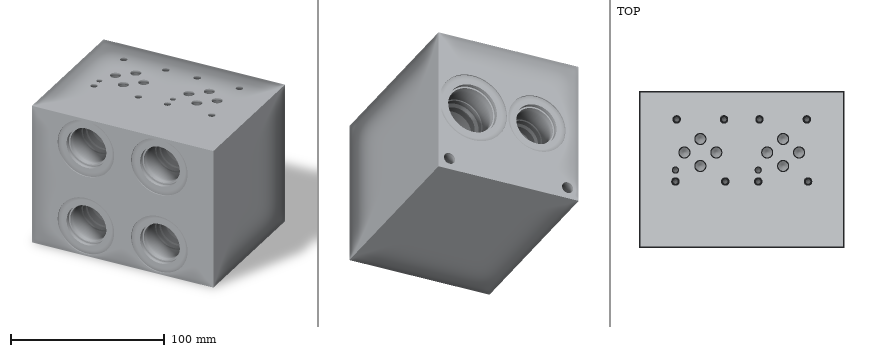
import cadquery as cq
import math

LENGTH = 133.4
WIDTH = 101.6
HEIGHT = 101.6

DRILL_POINT_ANGLE = 118.0
TAP_DRILL_EXTENSION = 2.7

SPOTFACE_DEPTH = 0.8
RECESS_DEPTH = 3.9
PORT_THREAD_DEPTH = 20.0
PORT_BORE_DEPTH = 24.0
SMALL_SPOTFACE_DIA = 41.5
SMALL_RECESS_DIA = 29.2
SMALL_THREAD_DIA = 27.0
SMALL_BORE_DIA = 25.0
LARGE_SPOTFACE_DIA = 49.0
LARGE_RECESS_DIA = 35.3
LARGE_THREAD_DIA = 33.0
LARGE_BORE_DIA = 31.2
FRONT_DRILL_DIA = 23.1
INNER_DRILL_DIA = 10.7
SMALL_SIDE_DRILL_DIA = 21.5
LARGE_SIDE_DRILL_DIA = 27.0
DRILL_EXTENSION = 5.3

STATION_PITCH = 54.0
STATION_Y = 61.9
FLOW_HOLE_DIA = 7.2
FLOW_HOLE_DEPTH = 2.0
FLOW_OFFSET_X = 10.4
FLOW_OFFSET_Y = 8.8
BOLT_THREAD_DIA = 4.8
BOLT_BORE_DIA = 3.7
BOLT_THREAD_DEPTH = 12.0
BOLT_REAR_OFFSET_X = 15.5
BOLT_FRONT_OFFSET_X = 16.3
BOLT_REAR_OFFSET_Y = 21.6
BOLT_FRONT_OFFSET_Y = 19.0
PIN_HOLE_DIA = 4.0
PIN_HOLE_DEPTH = 4.0
PIN_OFFSET_Y = 11.5

FRONT_PORT_LOW_Z = 22.3
FRONT_PORT_HIGH_Z = 79.7
SIDE_PORT_Z = HEIGHT / 2
SMALL_SIDE_PORT_Y = 30.3
LARGE_SIDE_PORT_Y = 76.5
MOUNT_THREAD_DIA = 8.0
MOUNT_BORE_DIA = 6.5
MOUNT_THREAD_DEPTH = 16.0
MOUNT_EDGE_INSET = 8.0

STATION_CENTERS_X = [LENGTH / 2 - STATION_PITCH / 2, LENGTH / 2 + STATION_PITCH / 2]


def point_length(from_dia, to_dia=0.0):
    """Axial length of a drill point narrowing from one diameter to another."""
    return (from_dia - to_dia) / 2 / math.tan(math.radians(DRILL_POINT_ANGLE / 2))


def revolved_cutter(profile):
    """Solid of revolution about +Z from (diameter, depth) pairs, opening at z = 0 and going down."""
    points = [(0, 0)] + [(dia / 2, -depth) for dia, depth in profile]
    return cq.Workplane("XZ").polyline(points).close().revolve(360, (0, 0, 0), (0, 1, 0))


def drilled_hole(dia, depth):
    return revolved_cutter([(dia, 0), (dia, depth), (0, depth + point_length(dia))])


def tapped_hole(thread_dia, bore_dia, thread_depth):
    """Blind hole at full thread diameter with a narrower tap drill running on below it."""
    bore_end = thread_depth + TAP_DRILL_EXTENSION
    return revolved_cutter([
        (thread_dia, 0),
        (thread_dia, thread_depth),
        (bore_dia, thread_depth),
        (bore_dia, bore_end),
        (0, bore_end + point_length(bore_dia)),
    ])


def port_cutter(spotface_dia, recess_dia, thread_dia, bore_dia, drill_dias):
    """Port cavity whose tap drill point runs on into ever smaller drillings."""
    profile = [
        (spotface_dia, 0),
        (spotface_dia, SPOTFACE_DEPTH),
        (recess_dia, SPOTFACE_DEPTH),
        (recess_dia, RECESS_DEPTH),
        (thread_dia, RECESS_DEPTH),
        (thread_dia, PORT_THREAD_DEPTH),
        (bore_dia, PORT_THREAD_DEPTH),
        (bore_dia, PORT_BORE_DEPTH),
    ]
    dia = bore_dia
    depth = PORT_BORE_DEPTH
    for drill_dia in drill_dias:
        depth += point_length(dia, drill_dia)
        profile.append((drill_dia, depth))
        depth += DRILL_EXTENSION
        profile.append((drill_dia, depth))
        dia = drill_dia
    profile.append((0, depth + point_length(dia)))
    return revolved_cutter(profile)


def on_top(cutter, x, y):
    return cutter.translate((x, y, HEIGHT))


def on_front(cutter, x, z):
    return cutter.rotate((0, 0, 0), (1, 0, 0), 90).translate((x, 0, z))


def on_left(cutter, y, z):
    return cutter.rotate((0, 0, 0), (0, 1, 0), -90).translate((0, y, z))


def small_port(drill_dias):
    return port_cutter(SMALL_SPOTFACE_DIA, SMALL_RECESS_DIA, SMALL_THREAD_DIA, SMALL_BORE_DIA, drill_dias)


def large_port(drill_dias):
    return port_cutter(LARGE_SPOTFACE_DIA, LARGE_RECESS_DIA, LARGE_THREAD_DIA, LARGE_BORE_DIA, drill_dias)


def station_cutters(x):
    """Flow, bolt and locating pin holes of one valve station centred at x."""
    flow_hole = drilled_hole(FLOW_HOLE_DIA, FLOW_HOLE_DEPTH)
    bolt_hole = tapped_hole(BOLT_THREAD_DIA, BOLT_BORE_DIA, BOLT_THREAD_DEPTH)
    pin_hole = drilled_hole(PIN_HOLE_DIA, PIN_HOLE_DEPTH)
    cutters = [on_top(pin_hole, x - BOLT_FRONT_OFFSET_X, STATION_Y - PIN_OFFSET_Y)]
    for side in (-1, 1):
        cutters.append(on_top(flow_hole, x + side * FLOW_OFFSET_X, STATION_Y))
        cutters.append(on_top(flow_hole, x, STATION_Y + side * FLOW_OFFSET_Y))
        cutters.append(on_top(bolt_hole, x + side * BOLT_REAR_OFFSET_X, STATION_Y + BOLT_REAR_OFFSET_Y))
        cutters.append(on_top(bolt_hole, x + side * BOLT_FRONT_OFFSET_X, STATION_Y - BOLT_FRONT_OFFSET_Y))
    return cutters


def front_port_cutters(x):
    """Lower and upper front ports below one valve station."""
    return [
        on_front(small_port([FRONT_DRILL_DIA]), x, FRONT_PORT_LOW_Z),
        on_front(small_port([FRONT_DRILL_DIA, INNER_DRILL_DIA]), x, FRONT_PORT_HIGH_Z),
    ]


def left_side_cutters():
    mount_hole = tapped_hole(MOUNT_THREAD_DIA, MOUNT_BORE_DIA, MOUNT_THREAD_DEPTH)
    return [
        on_left(small_port([SMALL_SIDE_DRILL_DIA]), SMALL_SIDE_PORT_Y, SIDE_PORT_Z),
        on_left(large_port([LARGE_SIDE_DRILL_DIA]), LARGE_SIDE_PORT_Y, SIDE_PORT_Z),
        on_left(mount_hole, MOUNT_EDGE_INSET, MOUNT_EDGE_INSET),
        on_left(mount_hole, WIDTH - MOUNT_EDGE_INSET, MOUNT_EDGE_INSET),
    ]


cutters = left_side_cutters()
for station_x in STATION_CENTERS_X:
    cutters += station_cutters(station_x)
    cutters += front_port_cutters(station_x)

result = cq.Workplane("XY").box(LENGTH, WIDTH, HEIGHT, centered=False)
for cutter in cutters:
    result = result.cut(cutter)